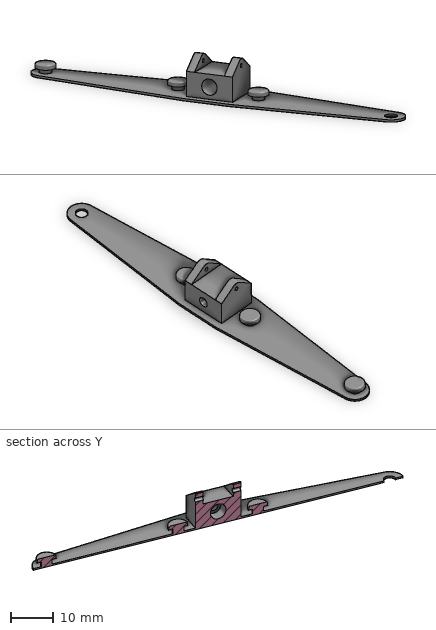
import cadquery as cq
import math

LENGTH = 97.0
WIDTH = 14.0
PLATE_THICKNESS = 0.6
END_RADIUS = 3.5
END_X = LENGTH / 2 - END_RADIUS
END_HOLE_DIAMETER = 3.0

BLOCK_LENGTH = 12.0
BLOCK_WIDTH = 10.2
BLOCK_TOP = 6.8
EAR_THICKNESS = 2.1
EAR_TOP = 10.1
EAR_TIP_RADIUS = 1.7
EAR_HOLE_DIAMETER = 1.0
EAR_HOLE_Z = EAR_TOP - EAR_TIP_RADIUS

BORE_Z = 3.6
BORE_DIAMETER = 2.5
COUNTERBORE_DIAMETER = 4.0
COUNTERBORE_DEPTH = 7.8

PIN_SPACING_X = 10.5
PIN_POSITIONS = (-END_X, -PIN_SPACING_X, PIN_SPACING_X)
NECK_DIAMETER = 3.0
HEAD_DIAMETER = 5.0
HEAD_BOTTOM = 1.7
HEAD_TOP = 2.9
HEAD_FILLET = 0.5


def tangent_point(corner_x, corner_y, center_x, center_y, radius):
    """Point where the line from a corner touches the upper side of a circle."""
    dx = corner_x - center_x
    dy = corner_y - center_y
    turn = math.acos(radius / math.hypot(dx, dy))
    angle = math.atan2(dy, dx) + math.copysign(turn, dx)
    return center_x + radius * math.cos(angle), center_y + radius * math.sin(angle)


def make_plate():
    """Flat strap that tapers from the block to two rounded ends."""
    corner_x = BLOCK_LENGTH / 2
    corner_y = WIDTH / 2
    right_x, end_y = tangent_point(corner_x=corner_x, corner_y=corner_y,
                                  center_x=END_X, center_y=0, radius=END_RADIUS)
    left_x = -right_x
    return (
        cq.Workplane("XY")
        .moveTo(-corner_x, corner_y)
        .lineTo(corner_x, corner_y)
        .lineTo(right_x, end_y)
        .threePointArc((LENGTH / 2, 0), (right_x, -end_y))
        .lineTo(corner_x, -corner_y)
        .lineTo(-corner_x, -corner_y)
        .lineTo(left_x, -end_y)
        .threePointArc((-LENGTH / 2, 0), (left_x, end_y))
        .close()
        .extrude(PLATE_THICKNESS)
    )


def make_block():
    """Block whose gabled profile is cut away between the two ears."""
    side_y = BLOCK_WIDTH / 2
    tip_y, tip_z = tangent_point(corner_x=side_y, corner_y=BLOCK_TOP,
                                 center_x=0, center_y=EAR_HOLE_Z, radius=EAR_TIP_RADIUS)
    gable = (
        cq.Workplane("YZ")
        .moveTo(-side_y, 0)
        .lineTo(side_y, 0)
        .lineTo(side_y, BLOCK_TOP)
        .lineTo(tip_y, tip_z)
        .threePointArc((0, EAR_TOP), (-tip_y, tip_z))
        .lineTo(-side_y, BLOCK_TOP)
        .close()
        .extrude(BLOCK_LENGTH / 2, both=True)
    )
    gap = cq.Workplane("XY").workplane(offset=BLOCK_TOP).rect(
        BLOCK_LENGTH - 2 * EAR_THICKNESS, BLOCK_WIDTH).extrude(EAR_TOP - BLOCK_TOP)
    ear_holes = cq.Workplane("YZ").center(0, EAR_HOLE_Z).circle(
        EAR_HOLE_DIAMETER / 2).extrude(BLOCK_LENGTH / 2, both=True)
    return gable.cut(gap).cut(ear_holes)


def make_bore():
    """Cross bore along Y, widened by a deep counterbore from the -Y face."""
    face = cq.Workplane("XZ", origin=(0, -BLOCK_WIDTH / 2, BORE_Z))
    bore = face.circle(BORE_DIAMETER / 2).extrude(-BLOCK_WIDTH)
    counterbore = face.circle(COUNTERBORE_DIAMETER / 2).extrude(-COUNTERBORE_DEPTH)
    return bore.union(counterbore)


def make_pin(x):
    """Pin with a round-edged head, standing on the plate."""
    neck = cq.Workplane("XY").center(x, 0).circle(NECK_DIAMETER / 2).extrude(HEAD_BOTTOM)
    head = (
        cq.Workplane("XY", origin=(x, 0, HEAD_BOTTOM))
        .circle(HEAD_DIAMETER / 2)
        .extrude(HEAD_TOP - HEAD_BOTTOM)
        .faces(">Z")
        .edges()
        .fillet(HEAD_FILLET)
    )
    return neck.union(head)


end_hole = (
    cq.Workplane("XY")
    .center(END_X, 0)
    .circle(END_HOLE_DIAMETER / 2)
    .extrude(PLATE_THICKNESS)
)

result = make_plate().cut(end_hole).union(make_block()).cut(make_bore())
for pin_x in PIN_POSITIONS:
    result = result.union(make_pin(pin_x))